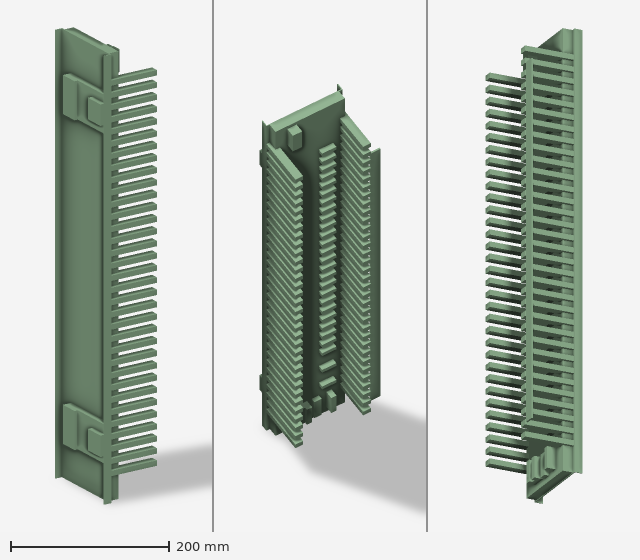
import cadquery as cq


total_height = 605.0
total_width = 127.5
total_depth = 85.5
front_y = -16.5
back_y = front_y + total_depth

sheet = 1.0
tray_left = 14.0
flange_front_y = -11.0

board_bottom = 1.0
board_left = 19.5
board_right = 123.0
board_depth = 14.0

clip_left = 37.0
clip_height = 52.5
clip_end_gap = 53.0
clip_plate_y = -9.0
clip_head_y = -14.0
clip_head_width = 27.0
clip_pad_width = 29.0
clip_pad_height = 29.0
clip_pad_inset = 11.0

bar_count = 33
bar_width = 11.5
bar_height = 7.0
bar_end_gap = 35.0
bar_left = tray_left + sheet
bar_bottom_z = board_bottom + bar_end_gap
bar_top_z = total_height - bar_end_gap
bar_pitch = (bar_top_z - bar_bottom_z - bar_height) / (bar_count - 1)

rail_thickness = 2.5
rail_setback = 1.0
rail_bottom_z = 56.0
rail_height = 491.0

block_left = clip_left
block_width = 21.0
block_back_y = 22.0
block_height = 5.5
block_bottom_z = 60.0
block_top_z = 528.0
block_places = 29
empty_places = (1, 3)
block_pitch = (block_top_z - block_bottom_z - block_height) / (block_places - 1)

top_connector_left = 91.5
top_connector_width = 14.0
top_connector_back_y = 27.0
top_connector_bottom_z = 569.0
top_connector_top_z = 599.5

foot_connector_top_z = 40.0
foot_connector_bottom_z = 10.0
post_back_y = 26.0
post_width = 8.0
single_post_left = 39.5
twin_post_left = 75.5
twin_post_pitch = 14.5
low_connector_left = block_left + block_width
low_connector_width = 11.0
low_connector_back_y = 20.5
low_connector_bottom_z = 8.5


def box(x_range, y_range, z_range):
    """Axis-aligned block between two limits on each axis."""
    size = [high - low for low, high in (x_range, y_range, z_range)]
    corner = (x_range[0], y_range[0], z_range[0])
    return cq.Workplane("XY").box(*size, centered=False).translate(corner)


def make_clip(bottom_z, pad_bottom_z):
    heights = (bottom_z, bottom_z + clip_height)
    pad_heights = (pad_bottom_z, pad_bottom_z + clip_pad_height)
    plate = box((clip_left, total_width), (clip_plate_y, -sheet), heights)
    head = box((clip_left, clip_left + clip_head_width), (clip_head_y, -sheet), heights)
    pad = box((total_width - clip_pad_width, total_width), (front_y, -sheet), pad_heights)
    return plate.union(head).union(pad)


def make_tray():
    """Sheet-metal channel with the two clips, which mirror each other top to bottom."""
    heights = (0, total_height)
    tray = box((tray_left, total_width), (-sheet, 0), heights)
    for left in (tray_left, total_width - sheet):
        tray = tray.union(box((left, left + sheet), (flange_front_y, 0), heights))

    low_clip_z = board_bottom + clip_end_gap
    low_pad_z = low_clip_z + clip_pad_inset
    top_clip_z = total_height - clip_end_gap - clip_height
    top_pad_z = top_clip_z + clip_height - clip_pad_inset - clip_pad_height
    return tray.union(make_clip(low_clip_z, low_pad_z)).union(make_clip(top_clip_z, top_pad_z))


def add_bars(board):
    for index in range(bar_count):
        z = bar_bottom_z + index * bar_pitch
        for left in (bar_left, total_width - bar_width):
            board = board.union(box((left, left + bar_width), (0, back_y), (z, z + bar_height)))
    return board


def add_rail(board):
    rail_back_y = back_y - rail_setback
    rail = box(
        (0, bar_left),
        (rail_back_y - rail_thickness, rail_back_y),
        (rail_bottom_z, rail_bottom_z + rail_height),
    )
    return board.union(rail)


def back_part(left, width, part_back_y, bottom_z, top_z):
    """Block standing on the back face of the board."""
    return box((left, left + width), (board_depth, part_back_y), (bottom_z, top_z))


def add_blocks(board):
    for place in range(block_places):
        if place in empty_places:
            continue
        z = block_bottom_z + place * block_pitch
        board = board.union(back_part(block_left, block_width, block_back_y, z, z + block_height))
    return board


def add_connectors(board):
    top_connector = back_part(
        top_connector_left,
        top_connector_width,
        top_connector_back_y,
        top_connector_bottom_z,
        top_connector_top_z,
    )
    board = board.union(top_connector)

    foot_heights = (foot_connector_bottom_z, foot_connector_top_z)
    for left in (single_post_left, twin_post_left, twin_post_left + twin_post_pitch):
        board = board.union(back_part(left, post_width, post_back_y, *foot_heights))
    board = board.union(back_part(twin_post_left, twin_post_pitch, block_back_y, *foot_heights))

    low_connector = back_part(
        low_connector_left,
        low_connector_width,
        low_connector_back_y,
        low_connector_bottom_z,
        foot_connector_top_z,
    )
    return board.union(low_connector)


def make_board():
    board = box((board_left, board_right), (0, board_depth), (board_bottom, total_height))
    board = add_bars(board)
    board = add_rail(board)
    board = add_blocks(board)
    return add_connectors(board)


tray = make_tray()
board = make_board()

result = cq.Compound.makeCompound([tray.val(), board.val()])